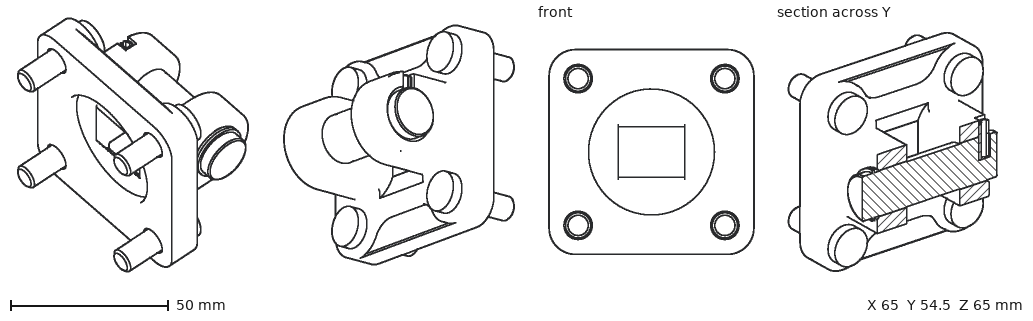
import cadquery as cq
import math

plate_size = 65.0
plate_thickness = 11.0
plate_corner_radius = 8.4
edge_radius = 0.49

pilot_diameter = 40.0
pilot_depth = 5.5
pilot_rim_radius = 1.0

lug_gap = 21.0
lug_thickness = 12.0
lug_radius = 14.0
pin_axis_y = 27.0
bore_chamfer = 1.0
swing_radius = 22.9

screw_offset = 23.3
screw_hole_diameter = 9.0
screw_diameter = 8.0
screw_reach = 13.5
screw_tip_chamfer = 0.8
head_diameter = 13.0
head_height = 3.6

relief_depth = 2.35
relief_floor_half_width = 7.5
relief_floor_chamfer = 0.49
boss_edge_x = 15.1

pin_diameter = 16.0
pin_end_diameter = 15.0
pin_left_x = -25.7
pin_right_x = 28.5
collar_diameter = 18.0
collar_thickness = 1.0
collar_x = 23.45

lock_diameter = 4.3
lock_bore_diameter = 2.2
lock_slit_width = 1.0
lock_top_z = 13.0
lock_chamfer = 0.49
lock_axis_x = -20.6
lock_slot_width = 4.5
lock_slot_end_x = -18.4

lug_inner_x = lug_gap / 2
lug_outer_x = lug_inner_x + lug_thickness
half_plate = plate_size / 2

selection_margin = 0.05


def relief_outline():
    """Pocket outline at the +Z edge: a flat wall joined by S-curves to the round screw bosses."""
    boss_radius = half_plate - screw_offset
    tilt = math.asin((screw_offset - boss_edge_x) / boss_radius)
    valley_radius = (boss_edge_x - relief_floor_half_width) / math.sin(tilt)
    joint_z = screw_offset + boss_radius * math.cos(tilt)
    valley_center_z = joint_z + valley_radius * math.cos(tilt)
    wall_z = valley_center_z - valley_radius
    half_tilt = tilt / 2
    boss_mid = (screw_offset - boss_radius * math.sin(half_tilt),
                screw_offset + boss_radius * math.cos(half_tilt))
    valley_mid = (relief_floor_half_width + valley_radius * math.sin(half_tilt),
                  valley_center_z - valley_radius * math.cos(half_tilt))
    return (
        cq.Workplane("XZ")
        .moveTo(-relief_floor_half_width, wall_z)
        .lineTo(relief_floor_half_width, wall_z)
        .threePointArc(valley_mid, (boss_edge_x, joint_z))
        .threePointArc(boss_mid, (screw_offset, half_plate))
        .lineTo(-screw_offset, half_plate)
        .threePointArc((-boss_mid[0], boss_mid[1]), (-boss_edge_x, joint_z))
        .threePointArc((-valley_mid[0], valley_mid[1]), (-relief_floor_half_width, wall_z))
        .close()
    )


def relief_floor_rim():
    """Chamfer wedge along the outer edge of a relief floor, kept inside the relief outline."""
    floor_y = plate_thickness - relief_depth
    wedge = (
        cq.Workplane("YZ")
        .moveTo(floor_y, half_plate)
        .lineTo(floor_y - relief_floor_chamfer, half_plate)
        .lineTo(floor_y, half_plate - relief_floor_chamfer)
        .close()
        .extrude(screw_offset, both=True)
    )
    return wedge.intersect(relief_outline().extrude(-plate_thickness))


def square_layer(start_y, end_y):
    """Slab of the plate with rounded corners, from start_y to end_y."""
    return (
        cq.Workplane("XZ", origin=(0, start_y, 0))
        .rect(plate_size, plate_size)
        .extrude(start_y - end_y)
        .edges("|Y").fillet(plate_corner_radius)
    )


def make_plate():
    """Full square front layer and a back layer that the reliefs cut away."""
    floor_y = plate_thickness - relief_depth
    relief = relief_outline().extrude(-plate_thickness)
    rim = relief_floor_rim()
    front = square_layer(0, floor_y).cut(rim).cut(rim.mirror("XY"))
    back = (
        square_layer(floor_y, plate_thickness)
        .cut(relief)
        .cut(relief.mirror("XY"))
        .faces(">Y").edges().fillet(edge_radius)
    )
    return front.union(back)


def make_lug(inner_x):
    """One round-ended lug with rounded edges, standing on the plate from inner_x toward +X."""
    return (
        cq.Workplane("YZ", origin=(inner_x, 0, 0))
        .moveTo(plate_thickness, -lug_radius)
        .lineTo(pin_axis_y, -lug_radius)
        .threePointArc((pin_axis_y + lug_radius, 0), (pin_axis_y, lug_radius))
        .lineTo(plate_thickness, lug_radius)
        .close()
        .extrude(lug_thickness)
        .faces("<X or >X").edges("not <Y").fillet(edge_radius)
    )


def lug_root_edges():
    """Selector for the edges where the lugs meet the back face of the plate."""
    return cq.selectors.BoxSelector(
        (-half_plate, plate_thickness - selection_margin, -lug_radius - selection_margin),
        (half_plate, plate_thickness + selection_margin, lug_radius + selection_margin),
    )


def swing_tool():
    """Cylinder about the pin axis that clears the gap and breaks through into the pilot recess."""
    return (
        cq.Workplane("YZ", origin=(-lug_inner_x, pin_axis_y, 0))
        .circle(swing_radius)
        .extrude(lug_gap)
    )


def bore_tool():
    """Pin bore through both lugs, countersunk at the outer faces."""
    radius = pin_diameter / 2
    wide = radius + bore_chamfer
    return (
        cq.Workplane("XY")
        .polyline([
            (-lug_outer_x, 0), (-lug_outer_x, wide), (-lug_outer_x + bore_chamfer, radius),
            (lug_outer_x - bore_chamfer, radius), (lug_outer_x, wide), (lug_outer_x, 0),
        ])
        .close()
        .revolve(360, (0, 0), (1, 0))
        .translate((0, pin_axis_y, 0))
    )


def lock_slot():
    """Square-cornered slot in the left lug that holds the locking pin."""
    return (
        cq.Workplane("XY")
        .box(lug_outer_x + lock_slot_end_x, lock_slot_width, lug_radius, centered=(False, True, False))
        .translate((-lug_outer_x, pin_axis_y, 0))
    )


def pilot_tool():
    """Round recess in the front of the plate, flared by a fillet at its rim."""
    rim_radius = pilot_diameter / 2 + pilot_rim_radius
    arc_reach = pilot_rim_radius * math.cos(math.pi / 4)
    return (
        cq.Workplane("XY")
        .lineTo(rim_radius, 0)
        .threePointArc(
            (rim_radius - arc_reach, pilot_rim_radius - arc_reach),
            (pilot_diameter / 2, pilot_rim_radius),
        )
        .lineTo(pilot_diameter / 2, pilot_depth)
        .lineTo(0, pilot_depth)
        .close()
        .revolve(360, (0, 0), (0, 1))
    )


def screw_holes():
    """Clearance holes through the plate corners."""
    return (
        cq.Workplane("XZ")
        .rect(2 * screw_offset, 2 * screw_offset, forConstruction=True)
        .vertices()
        .circle(screw_hole_diameter / 2)
        .extrude(-plate_thickness)
    )


def make_bracket():
    """Plate and lugs in one piece, with all their recesses and holes."""
    bracket = make_plate()
    for inner_x in (lug_inner_x, -lug_outer_x):
        bracket = bracket.union(make_lug(inner_x))
    bracket = bracket.edges(lug_root_edges()).fillet(edge_radius)
    for tool in (pilot_tool(), swing_tool(), screw_holes(), bore_tool(), lock_slot()):
        bracket = bracket.cut(tool)
    return bracket


def make_screw(x, z):
    """Screw with a plain round head on the back of the plate and its tip at -Y."""
    shank = (
        cq.Workplane("XZ", origin=(x, plate_thickness, z))
        .circle(screw_diameter / 2)
        .extrude(plate_thickness + screw_reach)
        .faces("<Y").chamfer(screw_tip_chamfer)
    )
    head = (
        cq.Workplane("XZ", origin=(x, plate_thickness, z))
        .circle(head_diameter / 2)
        .extrude(-head_height)
    )
    return shank.union(head)


def lock_cylinder():
    """Full cylinder of the locking pin, from the clevis pin axis up to its top."""
    return (
        cq.Workplane("XY", origin=(lock_axis_x, pin_axis_y, 0))
        .circle(lock_diameter / 2)
        .extrude(lock_top_z)
    )


def make_clevis_pin():
    """Chamfered pin along X with a thin retaining collar, drilled from above for the locking pin."""
    end_chamfer = (pin_diameter - pin_end_diameter) / 2
    pin = (
        cq.Workplane("YZ", origin=(pin_left_x, pin_axis_y, 0))
        .circle(pin_diameter / 2)
        .extrude(pin_right_x - pin_left_x)
        .edges().chamfer(end_chamfer)
    )
    collar = (
        cq.Workplane("YZ", origin=(collar_x, pin_axis_y, 0))
        .circle(collar_diameter / 2)
        .extrude(collar_thickness)
    )
    return pin.union(collar).cut(lock_cylinder())


def make_lock_pin():
    """Locking pin with a central bore and a slit that opens toward -X."""
    bore = (
        cq.Workplane("XY", origin=(lock_axis_x, pin_axis_y, 0))
        .circle(lock_bore_diameter / 2)
        .extrude(lock_top_z)
    )
    slit = (
        cq.Workplane("XY")
        .box(lock_diameter, lock_slit_width, lock_top_z, centered=(False, True, False))
        .translate((lock_axis_x - lock_diameter, pin_axis_y, 0))
    )
    return lock_cylinder().faces(">Z").chamfer(lock_chamfer).cut(bore).cut(slit)


bracket = make_bracket()
clevis_pin = make_clevis_pin()
lock_pin = make_lock_pin()
screws = [
    make_screw(x, z)
    for x in (-screw_offset, screw_offset)
    for z in (-screw_offset, screw_offset)
]

result = cq.Compound.makeCompound([
    bracket.val(),
    clevis_pin.val(),
    lock_pin.val(),
    *[screw.val() for screw in screws],
])